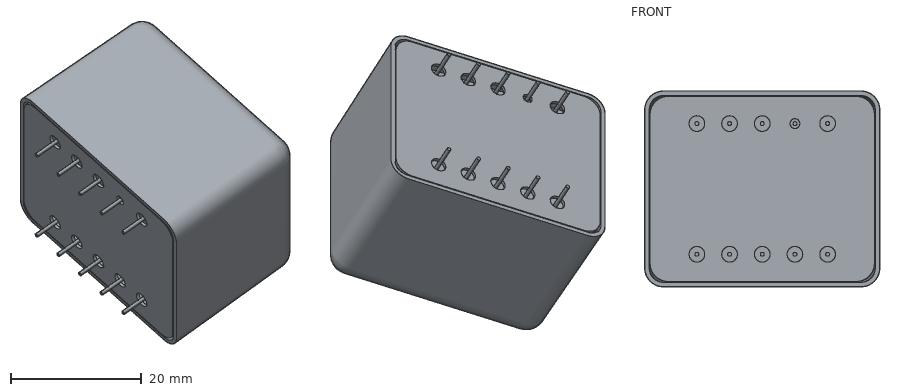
import cadquery as cq
import math

width = 36.0
height = 30.0
housing_depth = 25.0
draft_angle = 0.5
corner_radius = 2.92
wall = 0.7

plate_thickness = 0.5
plate_gap = 0.15
plate_corner_radius = 2.7
pin_hole_diameter = 2.4
marked_hole_diameter = 1.5

core_setback = 4.3

pin_diameter = 0.6
pin_protrusion = 3.8
pin_pitch = 5.0
pins_per_row = 5
row_spacing = 20.0
marked_pin_column = 3

open_face_y = 0.0
closed_face_y = open_face_y + housing_depth
plate_back_y = open_face_y + plate_thickness
core_front_y = open_face_y + core_setback
draft_slope = math.tan(math.radians(draft_angle))

row_heights = [-row_spacing / 2, row_spacing / 2]
pin_columns = [(i - (pins_per_row - 1) / 2) * pin_pitch for i in range(pins_per_row)]
pin_points = [(x, z) for z in row_heights for x in pin_columns]
marked_point = (pin_columns[marked_pin_column], row_heights[-1])


def plane_at(y):
    """XZ plane at the given Y: local x is +X, local y is +Z and the normal points toward -Y."""
    return cq.Plane(origin=(0, y, 0), xDir=(1, 0, 0), normal=(0, -1, 0))


def drafted_block(inset, start_y, end_y):
    """Block inside the housing outline by `inset`, with the housing's draft and rounded edges."""
    shrink = inset + (start_y - open_face_y) * draft_slope
    radius = corner_radius - inset
    return (
        cq.Workplane(plane_at(start_y))
        .rect(width - 2 * shrink, height - 2 * shrink)
        .extrude(-(end_y - start_y), taper=draft_angle)
        .edges("not(#Y)")
        .edges("not(|X or |Z)")
        .fillet(radius)
        .faces(">Y")
        .edges()
        .fillet(radius)
    )


def straight_block(start_y, end_y):
    """Undrafted block with the base plate's outline."""
    inset = wall + plate_gap
    return (
        cq.Workplane(plane_at(start_y))
        .rect(width - 2 * inset, height - 2 * inset)
        .extrude(start_y - end_y)
        .edges("|Y")
        .fillet(plate_corner_radius)
    )


def cylinders(points, diameter, start_y, end_y):
    """Round bars along Y, one at each (x, z) point."""
    return cq.Workplane(plane_at(start_y)).pushPoints(points).circle(diameter / 2).extrude(start_y - end_y)


def make_cavity():
    return drafted_block(wall, open_face_y, closed_face_y - wall)


def make_housing():
    return drafted_block(0, open_face_y, closed_face_y).cut(make_cavity())


def make_base_plate():
    plain_points = [point for point in pin_points if point != marked_point]
    return (
        straight_block(open_face_y, plate_back_y)
        .cut(cylinders(plain_points, pin_hole_diameter, open_face_y, plate_back_y))
        .cut(cylinders([marked_point], marked_hole_diameter, open_face_y, plate_back_y))
    )


def make_pin_core():
    core = straight_block(core_front_y, closed_face_y - wall).intersect(make_cavity())
    return core.union(cylinders(pin_points, pin_diameter, open_face_y - pin_protrusion, core_front_y))


housing = make_housing()
base_plate = make_base_plate()
pin_core = make_pin_core()

result = cq.Compound.makeCompound([housing.val(), base_plate.val(), pin_core.val()])